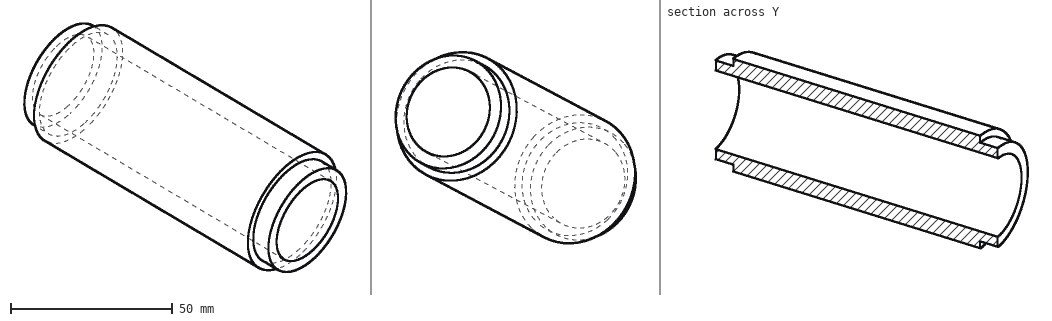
import cadquery as cq

overall_length = 102.36
body_diameter = 40.89
spigot_diameter = 35.9
spigot_length = 6.35
bore_diameter = 28.3

half_length = overall_length / 2
half_body_length = half_length - spigot_length
body_radius = body_diameter / 2
spigot_radius = spigot_diameter / 2
bore_radius = bore_diameter / 2

wall_section = [
    (-half_length, bore_radius),
    (-half_length, spigot_radius),
    (-half_body_length, spigot_radius),
    (-half_body_length, body_radius),
    (half_body_length, body_radius),
    (half_body_length, spigot_radius),
    (half_length, spigot_radius),
    (half_length, bore_radius),
]

result = cq.Workplane("XZ").polyline(wall_section).close().revolve(360, (0, 0, 0), (1, 0, 0))